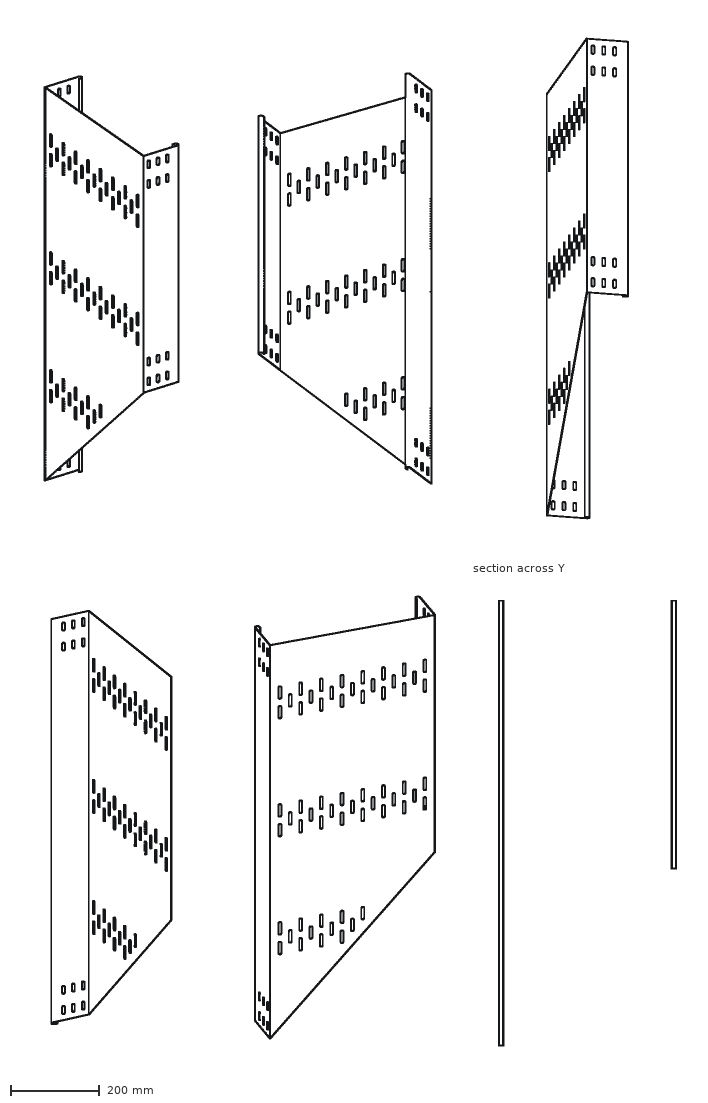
import cadquery as cq

width = 400.0
depth = 98.0
long_side = 1000.0
sheet = 2.0

lip_width = 12.0
lip_drop = 6.0
lip_outer_radius = lip_width / 2
lip_inner_radius = lip_outer_radius - sheet

base_slot_length = 32.0
base_slot_width = 7.0
column_pitch = 50.0
row_pitch = 25.0
group_pitch = 300.0
group_count = 3
columns_per_row = (8, 7, 8)
first_row_from_top = 125.0
slot_edge_margin = 30.0

wall_slot_length = 20.0
wall_slot_width = 7.0
wall_slot_from_base = 15.0
wall_slot_pitch = 25.0
wall_slots_per_row = 3
wall_rows_from_end = (25.0, 75.0)

half_width = width / 2


def mitre_height(x):
    """Z of the 45 degree lower edge, which starts at the inner face of the long wall."""
    return x + half_width - sheet


def base_plate():
    outline = [
        (-half_width, 0),
        (-half_width + sheet, 0),
        (half_width, mitre_height(half_width)),
        (half_width, long_side),
        (-half_width, long_side),
    ]
    return cq.Workplane("XZ").polyline(outline).close().extrude(-sheet)


def left_wall(bottom):
    """Wall at -X, with its lip rolled inward, from the given height to the top."""
    outer = -half_width
    centre = outer + lip_outer_radius
    tip = outer + lip_width
    bend = depth - lip_outer_radius
    return (
        cq.Workplane("XY", origin=(0, 0, bottom))
        .moveTo(outer, 0)
        .lineTo(outer, bend)
        .threePointArc((centre, depth), (tip, bend))
        .lineTo(tip, bend - lip_drop)
        .lineTo(tip - sheet, bend - lip_drop)
        .lineTo(tip - sheet, bend)
        .threePointArc((centre, bend + lip_inner_radius), (outer + sheet, bend))
        .lineTo(outer + sheet, 0)
        .close()
        .extrude(long_side - bottom)
    )


def base_slots():
    centres = []
    for group in range(group_count):
        for row, columns in enumerate(columns_per_row):
            z = long_side - first_row_from_top - group * group_pitch - row * row_pitch
            for column in range(columns):
                x = (column - (columns_per_row[0] - 1) / 2) * column_pitch
                x += (columns_per_row[0] - columns) * column_pitch / 2
                if z - mitre_height(x) >= slot_edge_margin:
                    centres.append((x, z))
    return (
        cq.Workplane("XZ")
        .pushPoints(centres)
        .slot2D(base_slot_length, base_slot_width, 90)
        .extrude(-sheet)
    )


def wall_slots(x_start, bottom):
    """Slot cutters through a wall whose -X face lies at x_start."""
    centres = []
    for offset in wall_rows_from_end:
        for column in range(wall_slots_per_row):
            y = wall_slot_from_base + column * wall_slot_pitch
            centres.append((y, bottom + offset))
            centres.append((y, long_side - offset))
    return (
        cq.Workplane("YZ", origin=(x_start, 0, 0))
        .pushPoints(centres)
        .slot2D(wall_slot_length, wall_slot_width, 90)
        .extrude(sheet)
    )


short_wall_bottom = mitre_height(half_width)
long_wall = left_wall(0)
short_wall = left_wall(short_wall_bottom).mirror("YZ")
tray = base_plate().union(long_wall).union(short_wall)

result = (
    tray.cut(base_slots())
    .cut(wall_slots(-half_width, 0))
    .cut(wall_slots(half_width - sheet, short_wall_bottom))
)